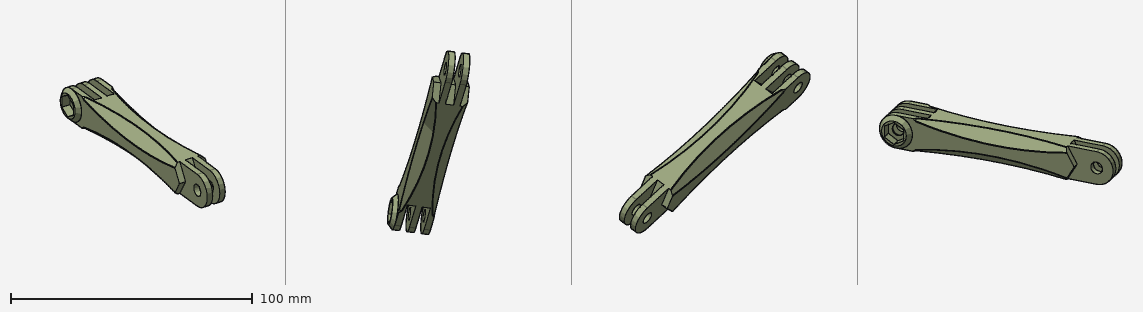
import cadquery as cq
import math

LENGTH = 105.0
SECTION = 15.0
HALF = SECTION / 2
PIN_SPAN = LENGTH - SECTION
PIN_DIAMETER = 5.2

FINGER_WIDTH = 2.7
SLOT_WIDTH = 3.5
FINGER_PITCH = (FINGER_WIDTH + SLOT_WIDTH) / 2

SHOULDER_REACH = 8.8
RIDGE_HALF_ANGLE = 60.0
SHOULDER_SETBACK = HALF / math.tan(math.radians(RIDGE_HALF_ANGLE))
FAR_RIDGE_X = PIN_SPAN - SHOULDER_REACH

BOSS_HEIGHT = 2.0
BOSS_CHAMFER = 1.9
NUT_FLATS = 8.7
NUT_DEPTH = 4.0

BEVEL_END_LEG = 0.9
BEVEL_MIDDLE_LEG = 4.9
BEVEL_RUN_OUT = 1.0
BEVEL_EDGE_BREAK = 0.2


def bevel_cutter(angle):
    """Cutter for one curved bevel, turned about X to its long edge."""
    edge_height = HALF * math.sqrt(2)
    end_height = edge_height - BEVEL_END_LEG / math.sqrt(2)
    middle_height = edge_height - BEVEL_MIDDLE_LEG / math.sqrt(2)
    return (
        cq.Workplane("XZ")
        .moveTo(SHOULDER_REACH - BEVEL_RUN_OUT, edge_height)
        .lineTo(SHOULDER_REACH, end_height)
        .threePointArc((PIN_SPAN / 2, middle_height), (FAR_RIDGE_X, end_height))
        .lineTo(FAR_RIDGE_X, edge_height)
        .close()
        .extrude(SECTION, both=True)
        .rotate((0, 0, 0), (1, 0, 0), angle)
    )


def gap_cutter(ridge_x, edge_x, outer_x, y_center, y_width):
    """Cutter for a gap beside a finger, leaving a floor ridged at mid-height."""
    outline = [
        (outer_x, -HALF),
        (edge_x, -HALF),
        (ridge_x, 0),
        (edge_x, HALF),
        (outer_x, HALF),
    ]
    return (
        cq.Workplane("XZ", origin=(0, y_center, 0))
        .polyline(outline)
        .close()
        .extrude(y_width / 2, both=True)
    )


arm = (
    cq.Workplane("XZ")
    .center(PIN_SPAN / 2, 0)
    .slot2D(LENGTH, SECTION)
    .extrude(HALF, both=True)
)

for angle in (45, 135, 225, 315):
    arm = arm.cut(bevel_cutter(angle))
arm = arm.edges("%ELLIPSE").chamfer(BEVEL_EDGE_BREAK)

near_edge_x = SHOULDER_REACH + SHOULDER_SETBACK
for y_center in (-FINGER_PITCH, FINGER_PITCH):
    arm = arm.cut(gap_cutter(SHOULDER_REACH, near_edge_x, -SECTION, y_center, SLOT_WIDTH))

far_edge_x = FAR_RIDGE_X - SHOULDER_SETBACK
middle_gap = 2 * FINGER_PITCH - FINGER_WIDTH
outer_gap = HALF - FINGER_PITCH - FINGER_WIDTH / 2
outer_center = HALF - outer_gap / 2
far_gaps = [(-outer_center, outer_gap), (0, middle_gap), (outer_center, outer_gap)]
for y_center, y_width in far_gaps:
    arm = arm.cut(gap_cutter(FAR_RIDGE_X, far_edge_x, LENGTH, y_center, y_width))

boss = (
    cq.Workplane("XZ", origin=(0, -HALF, 0))
    .moveTo(0, -HALF)
    .threePointArc((-HALF, 0), (0, HALF))
    .threePointArc((HALF, 0), (0, -HALF))
    .close()
    .extrude(BOSS_HEIGHT)
    .faces("<Y")
    .chamfer(BOSS_CHAMFER)
)
arm = arm.union(boss)

nut_pocket = (
    cq.Workplane("XZ", origin=(0, -HALF - BOSS_HEIGHT, 0))
    .polygon(6, NUT_FLATS, circumscribed=True)
    .extrude(-NUT_DEPTH)
)
arm = arm.cut(nut_pocket)

pin_holes = (
    cq.Workplane("XZ")
    .pushPoints([(0, 0), (PIN_SPAN, 0)])
    .circle(PIN_DIAMETER / 2)
    .extrude(SECTION, both=True)
)
result = cq.Workplane(arm.cut(pin_holes).solids().val())